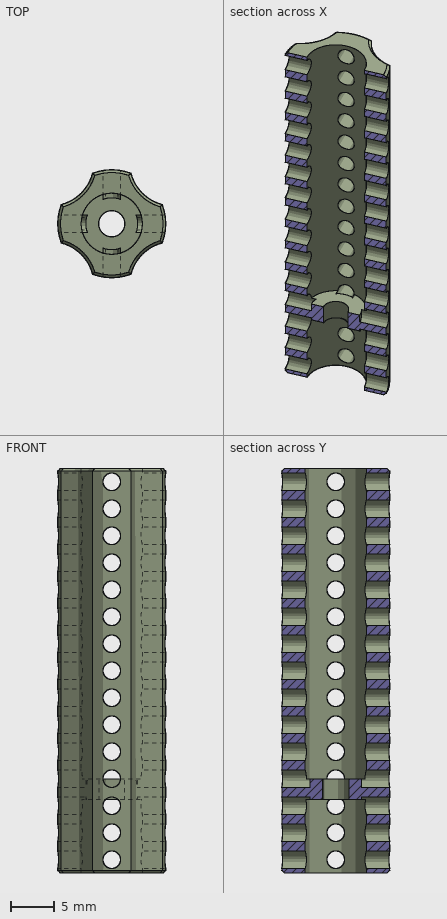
import cadquery as cq
import math

length = 46.9
outer_diameter = 12.5
land_width = 4.45
flute_floor_radius = 5.0
end_chamfer = 0.35

bore_diameter = 7.1
divider_hole_diameter = 3.0
divider_top = 10.9
divider_bottom = 8.55

lobe_count = 4
holes_per_lobe = 15
side_hole_diameter = 2.0
side_hole_inner_radius = 3.0

outer_radius = outer_diameter / 2
hole_pitch = length / holes_per_lobe
lobe_angle = 360 / lobe_count
land_half_angle = math.degrees(math.asin(land_width / 2 / outer_radius))


def polar(radius, angle):
    """Point in the XY plane at a radius and an angle in degrees."""
    return (radius * math.cos(math.radians(angle)), radius * math.sin(math.radians(angle)))


def fluted_body():
    """Bar with four convex lobes, four concave flutes and chamfered ends."""
    outline = cq.Workplane("XY").moveTo(*polar(outer_radius, -land_half_angle))
    for i in range(lobe_count):
        lobe = i * lobe_angle
        next_lobe = lobe + lobe_angle
        flute = lobe + lobe_angle / 2
        land_end = polar(outer_radius, lobe + land_half_angle)
        next_land_start = polar(outer_radius, next_lobe - land_half_angle)
        outline = outline.threePointArc(polar(outer_radius, lobe), land_end)
        outline = outline.threePointArc(polar(flute_floor_radius, flute), next_land_start)
    return outline.close().extrude(length).faces("<Z or >Z").chamfer(end_chamfer)


def cylinder(diameter, bottom, top):
    """Cylinder on the Z axis between two heights."""
    return cq.Workplane("XY").workplane(offset=bottom).circle(diameter / 2).extrude(top - bottom)


def side_holes():
    """Rows of radial holes, one row per lobe, ending on a cylinder round the axis."""
    heights = [(i + 0.5) * hole_pitch for i in range(holes_per_lobe)]
    drills = (
        cq.Workplane("YZ")
        .pushPoints([(0, height) for height in heights])
        .circle(side_hole_diameter / 2)
        .extrude(outer_radius)
        .cut(cylinder(2 * side_hole_inner_radius, 0, length))
    )
    return [drills.rotate((0, 0, 0), (0, 0, 1), i * lobe_angle) for i in range(lobe_count)]


result = (
    fluted_body()
    .cut(cylinder(bore_diameter, divider_top, length))
    .cut(cylinder(bore_diameter, 0, divider_bottom))
    .cut(cylinder(divider_hole_diameter, 0, length))
)
for hole_row in side_holes():
    result = result.cut(hole_row)